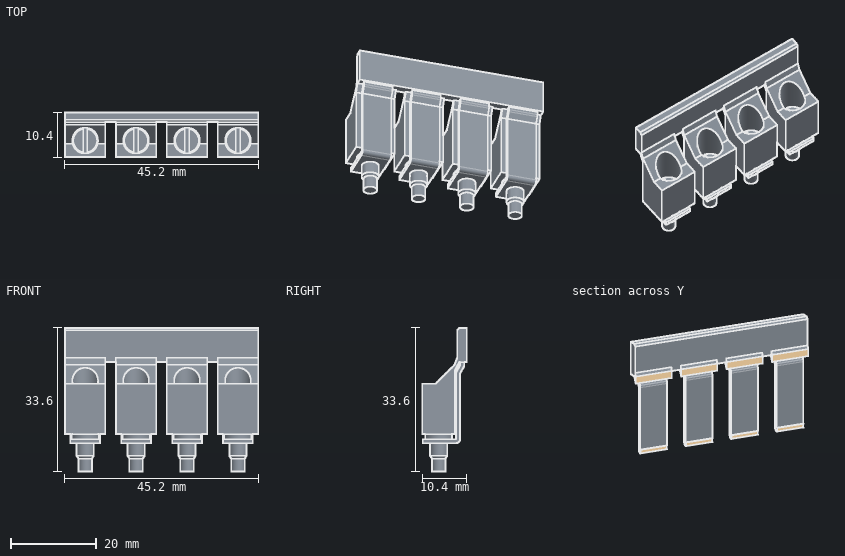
import cadquery as cq
import math


total_length = 45.2
total_depth = 10.45
total_height = 33.6
station_count = 4
block_width = 9.5
pitch = (total_length - block_width) / (station_count - 1)
station_x = [(i - (station_count - 1) / 2) * pitch for i in range(station_count)]

bar_thickness = 2.3
bar_height = 8.0
bar_chamfer = 0.55
bar_front_y = total_depth - bar_thickness
bar_bottom_z = total_height - bar_height

block_depth = 7.7
block_bottom_z = 8.72
block_top_z = 20.55
ledge_depth = 3.15
slope_run = 4.35
neck_front_z = 26.6
neck_back_y = 8.7
neck_back_bottom_z = 23.65

strip_thickness = 1.0
strip_width = 7.0
strip_gap = 0.2
strip_front_y = block_depth + strip_gap
strip_back_y = strip_front_y + strip_thickness
jog_angle = math.radians(30)
jog_top_z = 24.9
jog_bottom_z = jog_top_z - strip_thickness / math.sin(jog_angle)
foot_front_y = 0.1
foot_top_z = 7.6
foot_bottom_z = foot_top_z - strip_thickness

screw_y = block_depth / 2
head_diameter = 6.0
head_top_z = (block_bottom_z + block_top_z) / 2
head_chamfer = 0.23
slot_width = 1.0
slot_depth = 1.0
collar_diameter = 6.35
shank_diameter = 4.05
shank_bottom_z = 3.7
tip_diameter = 3.2
tip_top_z = 3.05


def extrude_along_x(profile, width):
    """Close a profile drawn in the YZ plane and extrude it to both sides of X = 0."""
    return profile.close().extrude(width / 2, both=True)


def make_bar():
    profile = (
        cq.Workplane("YZ")
        .moveTo(bar_front_y, bar_bottom_z)
        .lineTo(total_depth, bar_bottom_z)
        .lineTo(total_depth, total_height)
        .lineTo(bar_front_y + bar_chamfer, total_height)
        .lineTo(bar_front_y, total_height - bar_chamfer)
    )
    return extrude_along_x(profile, total_length)


def make_block():
    """Block with a sloping neck, bored through for the screw."""
    profile = (
        cq.Workplane("YZ")
        .moveTo(0, block_bottom_z)
        .lineTo(0, block_top_z)
        .lineTo(ledge_depth, block_top_z)
        .lineTo(ledge_depth + slope_run, block_top_z + slope_run)
        .lineTo(bar_front_y, neck_front_z)
        .lineTo(neck_back_y, neck_front_z)
        .lineTo(neck_back_y, bar_bottom_z)
        .lineTo(block_depth, neck_back_bottom_z)
        .lineTo(block_depth, block_bottom_z)
    )
    bore = (
        cq.Workplane("XY", origin=(0, screw_y, block_bottom_z))
        .circle(head_diameter / 2)
        .extrude(total_height)
    )
    return extrude_along_x(profile, block_width).cut(bore)


def bend_point(pivot_y, pivot_z, angle):
    """Point on the outside of a bend, at an angle measured from +Y around its inner corner."""
    return (
        pivot_y + strip_thickness * math.cos(angle),
        pivot_z + strip_thickness * math.sin(angle),
    )


def make_strip():
    """Strip that hangs from the bar, jogs forward and turns under the block as a foot."""
    upper_bend = (strip_back_y, jog_top_z)
    lower_bend = (strip_back_y, jog_bottom_z)
    foot_bend = (strip_front_y, foot_top_z)
    profile = (
        cq.Workplane("YZ")
        .moveTo(strip_back_y, bar_bottom_z)
        .lineTo(strip_back_y + strip_thickness, bar_bottom_z)
        .lineTo(*bend_point(*upper_bend, 0))
        .threePointArc(bend_point(*upper_bend, -jog_angle / 2), bend_point(*upper_bend, -jog_angle))
        .lineTo(*lower_bend)
        .lineTo(strip_back_y, foot_top_z)
        .threePointArc(bend_point(*foot_bend, -math.pi / 4), bend_point(*foot_bend, -math.pi / 2))
        .lineTo(foot_front_y, foot_bottom_z)
        .lineTo(foot_front_y, foot_top_z)
        .lineTo(*foot_bend)
        .lineTo(*bend_point(*lower_bend, math.pi))
        .threePointArc(
            bend_point(*lower_bend, math.pi - jog_angle / 2),
            bend_point(*lower_bend, math.pi - jog_angle),
        )
        .lineTo(*upper_bend)
    )
    shank_hole = (
        cq.Workplane("XY", origin=(0, screw_y, foot_bottom_z))
        .circle(shank_diameter / 2)
        .extrude(strip_thickness)
    )
    return extrude_along_x(profile, strip_width).cut(shank_hole)


def make_housing():
    """Bar with a block and a strip at every station, as one solid."""
    housing = make_bar()
    block = make_block()
    strip = make_strip()
    for x in station_x:
        housing = housing.union(block.translate((x, 0, 0)))
        housing = housing.union(strip.translate((x, 0, 0)))
    return housing


def make_screw(x):
    """Turned screw: head in the block, collar under it, shank through the foot, stepped tip."""
    half_profile = (
        cq.Workplane("XZ")
        .moveTo(0, 0)
        .lineTo(tip_diameter / 2, 0)
        .lineTo(tip_diameter / 2, tip_top_z)
        .lineTo(shank_diameter / 2, shank_bottom_z)
        .lineTo(shank_diameter / 2, foot_top_z)
        .lineTo(collar_diameter / 2, foot_top_z)
        .lineTo(collar_diameter / 2, block_bottom_z)
        .lineTo(head_diameter / 2, block_bottom_z)
        .lineTo(head_diameter / 2, head_top_z - head_chamfer)
        .lineTo(head_diameter / 2 - head_chamfer, head_top_z)
        .lineTo(0, head_top_z)
        .close()
    )
    turned = half_profile.revolve(360, (0, 0, 0), (0, 1, 0))
    slot = cq.Workplane("XY", origin=(0, 0, head_top_z - slot_depth / 2)).box(
        slot_width, head_diameter, slot_depth
    )
    return turned.cut(slot).translate((x, screw_y, 0))


housing = make_housing()
screws = [make_screw(x) for x in station_x]

result = cq.Compound.makeCompound([housing.val(), *[screw.val() for screw in screws]])